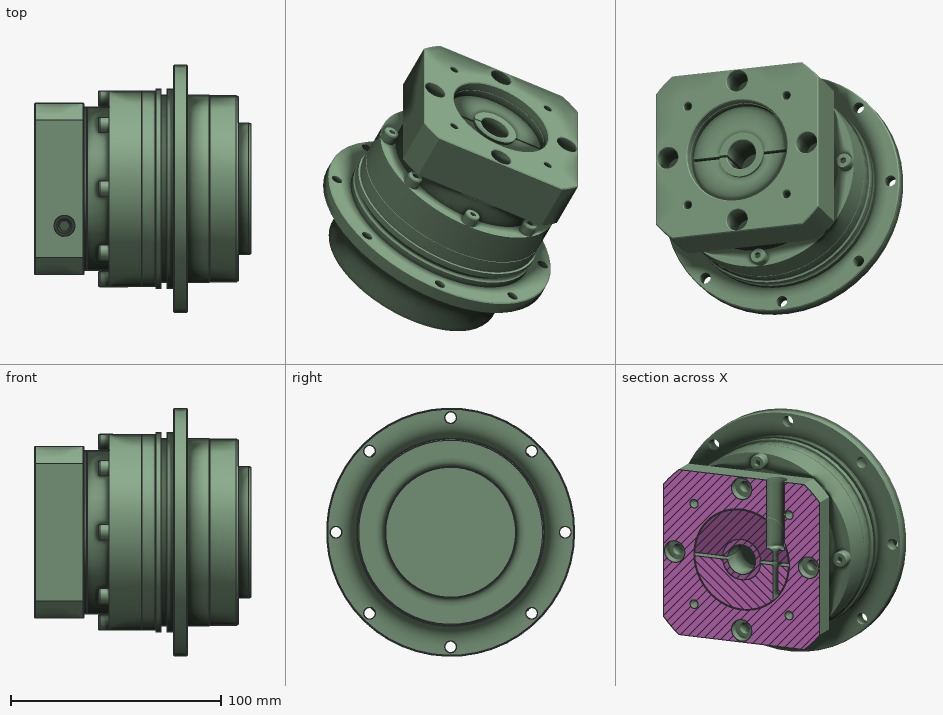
import cadquery as cq
import math


PLATE_LENGTH = 23.6
PLATE_WIDTH = 81.7
PLATE_CORNER_RADIUS = 52.3
EDGE_CHAMFER = 0.5
HOLE_CHAMFER = 0.4
PILOT_RADIUS = 25.0
PILOT_DEPTH = 4.6
PLATE_BORE_RADIUS = 24.8

PLATE_SCREW_CIRCLE_RADIUS = 34.9
PLATE_SCREW_COUNT = 4
COUNTERBORE_RADIUS = 5.2
COUNTERBORE_DEPTH = 16.5
CLEARANCE_RADIUS = 2.7
THREAD_RADIUS = 2.1
THREAD_DEPTH = 9.4

MOTOR_HOLE_SPACING = 49.6
MOTOR_HOLE_RADIUS = 2.0
MOTOR_HOLE_DEPTH = 14.2

COLLAR_START = 8.0
COLLAR_END = 20.6
COLLAR_RADIUS = 24.5
COLLAR_SLOT_WIDTH = 1.4
CLAMP_X = 14.3
CLAMP_Y = -17.6
CLAMP_SEAT_Z = 7.1
ACCESS_RADIUS = 5.0
CLAMP_CONE_RADIUS = 3.5
CLAMP_CONE_END_RADIUS = 2.1
CLAMP_CONE_DEPTH = 1.2
CLAMP_HEX_FLATS = 4.7

BUSHING_RADIUS = 9.8
BUSHING_BORE_RADIUS = 7.2
BUSHING_FLANGE_RADIUS = 11.0
BUSHING_FLANGE_LENGTH = 1.5
BUSHING_CHAMFER = 0.4
BUSHING_SLOT_WIDTH = 1.2

RECESS_RADIUS = 17.3
RECESS_END = 25.4
SOCKET_END = 28.3

NECK_RADIUS = 38.8
NECK_GROOVE_X = 24.8
FRONT_FACE_X = 35.5
CASE_RADIUS = 46.6
CASE_JOINT_X = 50.9
FINE_GROOVE_WIDTH = 0.4
FINE_GROOVE_DEPTH = 0.4
RING_START_X = 57.7
RING_RADIUS = 47.4
SEAL_GROOVE_START_X = 60.3
SEAL_GROOVE_END_X = 63.1
SEAL_GROOVE_RADIUS = 44.6
FLANGE_START_X = 66.2
FLANGE_END_X = 72.7
FLANGE_RADIUS = 59.0
SPIGOT_RADIUS = 44.7
SPIGOT_STEP_X = 83.0
SPIGOT_STEP_LENGTH = 0.5
HOUSING_END_X = 97.0
HOUSING_END_RADIUS = 44.4
HOUSING_CHAMFER_LENGTH = 1.2
HOUSING_CHAMFER_HEIGHT = 0.6
OUTPUT_END_X = 103.0
OUTPUT_RADIUS = 31.4
OUTPUT_CHAMFER_LENGTH = 1.3
OUTPUT_CHAMFER_HEIGHT = 0.5

RADIAL_COUNT = 8
FLANGE_HOLE_CIRCLE_RADIUS = 54.5
FLANGE_HOLE_RADIUS = 2.7
HEAD_RADIUS = 3.7
HEAD_CIRCLE_RADIUS = CASE_RADIUS - HEAD_RADIUS
HEAD_LENGTH = 5.1
HEAD_CHAMFER_LENGTH = 0.7
HEAD_CHAMFER_HEIGHT = 0.4
SOCKET_HEX_DIAMETER = 3.3
SOCKET_DEPTH = 2.4

DRILL_POINT_ANGLE = 118


def cross_section(x):
    """Workplane normal to +X at the given x, with local axes along Y and Z."""
    return cq.Workplane("YZ", origin=(x, 0, 0))


def rod(start, end, radius):
    return cross_section(start).circle(radius).extrude(end - start)


def circle_points(count, radius):
    """Evenly spaced (y, z) points around the main axis."""
    step = 2 * math.pi / count
    return [(radius * math.cos(i * step), radius * math.sin(i * step)) for i in range(count)]


def drilled_hole(start, depth, radius, points):
    """Blind cutter with a conical drill point, repeated at (y, z) points."""
    tip = radius / math.tan(math.radians(DRILL_POINT_ANGLE / 2))
    outline = [(0, 0), (0, radius), (depth, radius), (depth + tip, 0)]
    cutter = cq.Workplane("XY").polyline(outline).close().revolve(360, (0, 0, 0), (1, 0, 0))
    solids = [cutter.val().translate(cq.Vector(start, y, z)) for y, z in points]
    return cq.Workplane(cq.Compound.makeCompound(solids))


def mouth_chamfer(radius, size, points):
    """Conical cutters that break the edges of holes opening at x = 0."""
    cone = cq.Solid.makeCone(radius + size, radius, size, cq.Vector(0, 0, 0), cq.Vector(1, 0, 0))
    solids = [cone.translate(cq.Vector(0, y, z)) for y, z in points]
    return cq.Workplane(cq.Compound.makeCompound(solids))


def make_plate():
    plate = cross_section(0).rect(PLATE_WIDTH, PLATE_WIDTH).extrude(PLATE_LENGTH)
    plate = plate.intersect(rod(0, PLATE_LENGTH, PLATE_CORNER_RADIUS))
    plate = plate.faces("<X or >X").chamfer(EDGE_CHAMFER)

    plate = plate.cut(rod(0, PLATE_LENGTH, PLATE_BORE_RADIUS))
    plate = plate.cut(rod(0, PILOT_DEPTH, PILOT_RADIUS))
    plate = plate.cut(mouth_chamfer(PILOT_RADIUS, EDGE_CHAMFER, [(0, 0)]))

    screw_points = circle_points(PLATE_SCREW_COUNT, PLATE_SCREW_CIRCLE_RADIUS)
    screw_centres = cross_section(0).pushPoints(screw_points)
    plate = plate.cut(screw_centres.circle(CLEARANCE_RADIUS).extrude(PLATE_LENGTH))
    plate = plate.cut(screw_centres.circle(COUNTERBORE_RADIUS).extrude(COUNTERBORE_DEPTH))
    plate = plate.cut(mouth_chamfer(COUNTERBORE_RADIUS, HOLE_CHAMFER, screw_points))

    half = MOTOR_HOLE_SPACING / 2
    motor_points = [(y, z) for y in (-half, half) for z in (-half, half)]
    plate = plate.cut(drilled_hole(0, MOTOR_HOLE_DEPTH, MOTOR_HOLE_RADIUS, motor_points))
    plate = plate.cut(mouth_chamfer(MOTOR_HOLE_RADIUS, HOLE_CHAMFER, motor_points))

    access = cq.Workplane("XY").center(CLAMP_X, CLAMP_Y).circle(ACCESS_RADIUS).extrude(PLATE_WIDTH)
    return plate.cut(access)


def make_collar_half(side):
    """Half of the slotted clamp collar; side is +1 above the slot and -1 below it."""
    collar = rod(COLLAR_START, COLLAR_END, COLLAR_RADIUS)
    collar = collar.cut(rod(COLLAR_START, COLLAR_END, BUSHING_RADIUS))
    keep = (
        cq.Workplane("XY", origin=(0, 0, side * COLLAR_SLOT_WIDTH / 2))
        .center((COLLAR_START + COLLAR_END) / 2, 0)
        .rect(COLLAR_END - COLLAR_START, 2 * COLLAR_RADIUS)
        .extrude(side * COLLAR_RADIUS)
    )
    seat = cq.Workplane("XY", origin=(CLAMP_X, CLAMP_Y, CLAMP_SEAT_Z))
    counterbore = seat.circle(ACCESS_RADIUS).extrude(COLLAR_RADIUS)
    hexagon = (
        seat.transformed(rotate=(0, 0, 90))
        .polygon(6, CLAMP_HEX_FLATS, circumscribed=True)
        .extrude(2 * COLLAR_RADIUS, both=True)
    )
    cone = cq.Solid.makeCone(
        CLAMP_CONE_RADIUS,
        CLAMP_CONE_END_RADIUS,
        CLAMP_CONE_DEPTH,
        cq.Vector(CLAMP_X, CLAMP_Y, CLAMP_SEAT_Z),
        cq.Vector(0, 0, -1),
    )
    return collar.intersect(keep).cut(counterbore).cut(hexagon).cut(cq.Workplane(cone))


def make_bushing():
    """Flanged sleeve with one slot on its +Y side."""
    start = COLLAR_START - BUSHING_FLANGE_LENGTH
    bushing = rod(start, COLLAR_START, BUSHING_FLANGE_RADIUS)
    bushing = bushing.union(rod(start, SOCKET_END, BUSHING_RADIUS))
    bushing = bushing.cut(rod(start, SOCKET_END, BUSHING_BORE_RADIUS))
    mouth_edge = bushing.faces("<X").edges(cq.selectors.RadiusNthSelector(0))
    bushing = mouth_edge.chamfer(BUSHING_CHAMFER)
    slot = cross_section(start).center(BUSHING_FLANGE_RADIUS / 2, 0)
    return bushing.cut(slot.rect(BUSHING_FLANGE_RADIUS, BUSHING_SLOT_WIDTH).extrude(SOCKET_END - start))


def make_screw_head(y, z):
    head = (
        cross_section(FRONT_FACE_X)
        .center(y, z)
        .circle(HEAD_RADIUS)
        .extrude(-HEAD_LENGTH)
        .faces("<X")
        .chamfer(HEAD_CHAMFER_LENGTH, HEAD_CHAMFER_HEIGHT)
    )
    socket = cross_section(FRONT_FACE_X - HEAD_LENGTH).center(y, z).transformed(rotate=(0, 0, 90))
    return head.cut(socket.polygon(6, SOCKET_HEX_DIAMETER).extrude(SOCKET_DEPTH))


def make_gearbox():
    profile = [
        (PLATE_LENGTH, 0),
        (PLATE_LENGTH, NECK_RADIUS),
        (FRONT_FACE_X, NECK_RADIUS),
        (FRONT_FACE_X, CASE_RADIUS),
        (RING_START_X, CASE_RADIUS),
        (RING_START_X, RING_RADIUS),
        (SEAL_GROOVE_START_X, RING_RADIUS),
        (SEAL_GROOVE_START_X, SEAL_GROOVE_RADIUS),
        (SEAL_GROOVE_END_X, SEAL_GROOVE_RADIUS),
        (SEAL_GROOVE_END_X, RING_RADIUS),
        (FLANGE_START_X, RING_RADIUS),
        (FLANGE_START_X, FLANGE_RADIUS - EDGE_CHAMFER),
        (FLANGE_START_X + EDGE_CHAMFER, FLANGE_RADIUS),
        (FLANGE_END_X - EDGE_CHAMFER, FLANGE_RADIUS),
        (FLANGE_END_X, FLANGE_RADIUS - EDGE_CHAMFER),
        (FLANGE_END_X, SPIGOT_RADIUS),
        (SPIGOT_STEP_X, SPIGOT_RADIUS),
        (SPIGOT_STEP_X + SPIGOT_STEP_LENGTH, HOUSING_END_RADIUS),
        (HOUSING_END_X - HOUSING_CHAMFER_LENGTH, HOUSING_END_RADIUS),
        (HOUSING_END_X, HOUSING_END_RADIUS - HOUSING_CHAMFER_HEIGHT),
        (HOUSING_END_X, OUTPUT_RADIUS),
        (OUTPUT_END_X - OUTPUT_CHAMFER_LENGTH, OUTPUT_RADIUS),
        (OUTPUT_END_X, OUTPUT_RADIUS - OUTPUT_CHAMFER_HEIGHT),
        (OUTPUT_END_X, 0),
    ]
    gearbox = cq.Workplane("XY").polyline(profile).close().revolve(360, (0, 0, 0), (1, 0, 0))

    fine_grooves = [
        (NECK_GROOVE_X, NECK_RADIUS),
        (CASE_JOINT_X, CASE_RADIUS),
        (RING_START_X - FINE_GROOVE_WIDTH, CASE_RADIUS),
    ]
    for x, radius in fine_grooves:
        end = x + FINE_GROOVE_WIDTH
        groove_floor = rod(x, end, radius - FINE_GROOVE_DEPTH)
        gearbox = gearbox.cut(rod(x, end, FLANGE_RADIUS).cut(groove_floor))

    gearbox = gearbox.cut(rod(PLATE_LENGTH, RECESS_END, RECESS_RADIUS))
    gearbox = gearbox.cut(rod(PLATE_LENGTH, SOCKET_END, BUSHING_RADIUS))

    screw_points = circle_points(PLATE_SCREW_COUNT, PLATE_SCREW_CIRCLE_RADIUS)
    gearbox = gearbox.cut(drilled_hole(PLATE_LENGTH, THREAD_DEPTH, THREAD_RADIUS, screw_points))

    hole_points = circle_points(RADIAL_COUNT, FLANGE_HOLE_CIRCLE_RADIUS)
    holes = cross_section(FLANGE_START_X).pushPoints(hole_points)
    gearbox = gearbox.cut(holes.circle(FLANGE_HOLE_RADIUS).extrude(FLANGE_END_X - FLANGE_START_X))

    for y, z in circle_points(RADIAL_COUNT, HEAD_CIRCLE_RADIUS):
        gearbox = gearbox.union(make_screw_head(y, z))
    return gearbox


plate = make_plate()
gearbox = make_gearbox()
collar_halves = [make_collar_half(side) for side in (1, -1)]
bushing = make_bushing()

result = cq.Compound.makeCompound(
    [plate.val(), gearbox.val(), *[half.val() for half in collar_halves], bushing.val()]
)